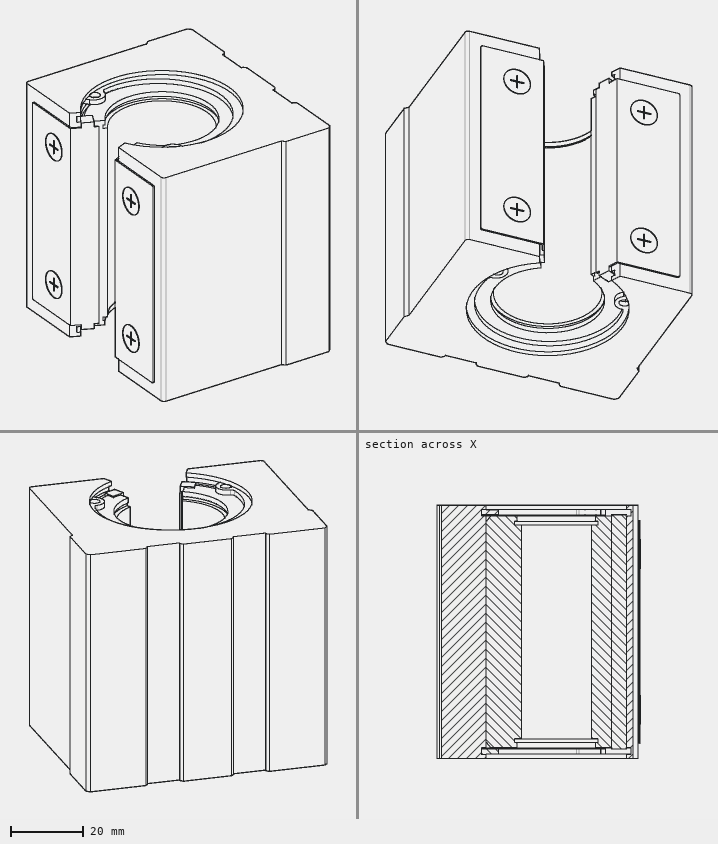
import cadquery as cq
import math

LENGTH = 70.0
HALF_LENGTH = LENGTH / 2
WIDTH = 70.0
HALF_WIDTH = WIDTH / 2
MOUNT_Y = 33.0
FRONT_Y = -22.55
BODY_HALF_WIDTH = 34.0
LEDGE = HALF_WIDTH - BODY_HALF_WIDTH
LEFT_LEDGE_DROP = 14.15
RIGHT_LEDGE_DROP = 15.2
MOUNT_CHAMFER = 1.0
FRONT_FILLET = 1.0
CHANNEL_X = 12.45
CHANNEL_WIDTH = 9.4
CHANNEL_DEPTH = 1.25
CHANNEL_CHAMFER = 0.8
BORE_R = 22.5
SLOT_HALF_ANGLE = 25.0
SLOT_TAN = math.tan(math.radians(SLOT_HALF_ANGLE))
HOUSING_SLOT_APEX_Y = 3.4
CUT_REACH = 42.0

BEARING_HALF_LENGTH = 32.0
BEARING_BORE_R = 15.0
BEARING_SLOT_APEX_Y = 3.2
MOUTH_GROOVE_R = 16.25
MOUTH_GROOVE_INNER_Z = 29.55
MOUTH_GROOVE_OUTER_Z = 30.5
MOUTH_R = 15.75
TAPER_RADIAL = 1.0
TAPER_AXIAL = 1.4

GROOVE_R = 23.6
GROOVE_OUTER_Z = 33.75
GROOVE_INNER_Z = 32.0
CLIP_INNER_Z = 32.3
CLIP_INNER_R = 20.7
CLIP_INNER_Y = -1.25
CLIP_END_ANGLE = 55.0
EAR_DIAMETER = 6.65
EAR_CENTER = (19.6, -9.6)
EAR_ROOT_Y = -6.3
EAR_FILLET = 1.0
EAR_HOLE_DIAMETER = 3.0
EAR_HOLE_CENTER = (19.05, -9.45)

SEAL_HALF_LENGTH = 30.8
SEAL_THICKNESS = 0.5
SEAL_OUTER_X = 29.8
SEAL_CORNER_R = 0.5
LEAF_APEX_Y = 0.6
LEAF_TIP_Y = -15.8
KEY_HALF_LENGTH = 32.35
KEY_INNER = (-11.75, -15.2)
KEY_SLOT_Y = -16.95
SCREW_X = 19.05
SCREW_Z = 21.5
SCREW_DIAMETER = 8.0
SCREW_HEIGHT = 0.2
CROSS_LENGTH = 4.0
CROSS_WIDTH = 0.2


def upright(sketch, half_height):
    """Extrude an XY outline to both sides of Z = 0."""
    return sketch.extrude(half_height, both=True)


def cylinder(radius, z_low, z_high):
    """Cylinder on the bore axis between two heights."""
    return cq.Workplane("XY").workplane(offset=z_low).circle(radius).extrude(z_high - z_low)


def wedge(half_angle, apex_y):
    """Wedge through the full length that opens from (0, apex_y) towards -Y."""
    x = CUT_REACH * math.tan(math.radians(half_angle))
    bottom_y = apex_y - CUT_REACH
    outline = cq.Workplane("XY").polyline([(0, apex_y), (-x, bottom_y), (x, bottom_y)]).close()
    return upright(outline, HALF_LENGTH)


def both_ends(tool):
    """The shape together with its mirror image at the lower end."""
    return tool.union(tool.mirror("XY"))


def make_channel(center_x):
    """Channel across the mounting face, with chamfered top edges."""
    half = CHANNEL_WIDTH / 2
    wide = half + CHANNEL_CHAMFER
    points = [
        (center_x - wide, MOUNT_Y),
        (center_x - half, MOUNT_Y - CHANNEL_CHAMFER),
        (center_x - half, MOUNT_Y - CHANNEL_DEPTH),
        (center_x + half, MOUNT_Y - CHANNEL_DEPTH),
        (center_x + half, MOUNT_Y - CHANNEL_CHAMFER),
        (center_x + wide, MOUNT_Y),
    ]
    return upright(cq.Workplane("XY").polyline(points).close(), HALF_LENGTH)


def make_housing():
    """Block with side ledges, mounting channels, circlip grooves and a slotted bore."""
    left_ledge_y = MOUNT_Y - LEFT_LEDGE_DROP
    right_ledge_y = MOUNT_Y - RIGHT_LEDGE_DROP
    points = [
        (-HALF_WIDTH, MOUNT_Y),
        (HALF_WIDTH, MOUNT_Y),
        (HALF_WIDTH, right_ledge_y),
        (BODY_HALF_WIDTH, right_ledge_y - LEDGE),
        (BODY_HALF_WIDTH, FRONT_Y),
        (-BODY_HALF_WIDTH, FRONT_Y),
        (-BODY_HALF_WIDTH, left_ledge_y - LEDGE),
        (-HALF_WIDTH, left_ledge_y),
    ]
    block = upright(cq.Workplane("XY").polyline(points).close(), HALF_LENGTH)
    block = block.faces(">Y").edges("|Z").chamfer(MOUNT_CHAMFER)
    block = block.faces("<Y").edges("|Z").fillet(FRONT_FILLET)
    for center_x in (-CHANNEL_X, CHANNEL_X):
        block = block.cut(make_channel(center_x))
    block = block.cut(cylinder(BORE_R, -HALF_LENGTH, HALF_LENGTH))
    block = block.cut(both_ends(cylinder(GROOVE_R, GROOVE_INNER_Z, GROOVE_OUTER_Z)))
    return block.cut(wedge(SLOT_HALF_ANGLE, HOUSING_SLOT_APEX_Y))


def make_bearing(seals):
    """Open sleeve with tapered ends, a wider grooved mouth at each end and pockets for the seals."""
    end = BEARING_HALF_LENGTH
    half_profile = [
        (BEARING_BORE_R, 0),
        (BEARING_BORE_R, MOUTH_GROOVE_INNER_Z),
        (MOUTH_GROOVE_R, MOUTH_GROOVE_INNER_Z),
        (MOUTH_GROOVE_R, MOUTH_GROOVE_OUTER_Z),
        (MOUTH_R, MOUTH_GROOVE_OUTER_Z),
        (MOUTH_R, end),
        (BORE_R - TAPER_RADIAL, end),
        (BORE_R, end - TAPER_AXIAL),
        (BORE_R, 0),
    ]
    upper_half = cq.Workplane("XZ").polyline(half_profile).close().revolve(360, (0, 0), (0, 1))
    sleeve = both_ends(upper_half).cut(wedge(SLOT_HALF_ANGLE, BEARING_SLOT_APEX_Y))
    for seal in seals:
        sleeve = sleeve.cut(seal)
    return sleeve


def make_circlip():
    """Upper internal circlip: eccentric ring with an ear and a plier hole at each end."""
    thickness = GROOVE_OUTER_Z - CLIP_INNER_Z
    base = cq.Workplane("XY").workplane(offset=CLIP_INNER_Z)
    disc = base.circle(GROOVE_R).extrude(thickness)
    clip = disc.cut(base.center(0, CLIP_INNER_Y).circle(CLIP_INNER_R).extrude(thickness))
    ears = [(-EAR_CENTER[0], EAR_CENTER[1]), EAR_CENTER]
    holes = [(-EAR_HOLE_CENTER[0], EAR_HOLE_CENTER[1]), EAR_HOLE_CENTER]
    ear_discs = base.pushPoints(ears).circle(EAR_DIAMETER / 2).extrude(thickness)
    clip = clip.union(ear_discs.intersect(disc)).cut(wedge(CLIP_END_ANGLE, 0))
    for side in (-1, 1):
        ear_root = cq.selectors.NearestToPointSelector(
            (side * CLIP_INNER_R, EAR_ROOT_Y, CLIP_INNER_Z + thickness / 2))
        clip = clip.edges("|Z").edges(ear_root).fillet(EAR_FILLET)
    return clip.cut(base.pushPoints(holes).circle(EAR_HOLE_DIAMETER / 2).extrude(thickness))


def leaf_x(y):
    """X of the leaf's slot-side face at a given Y."""
    return (y - LEAF_APEX_Y) * SLOT_TAN


def make_left_seal():
    """Plate on the front face, leaf bent into the slot, key in the bearing, two screw heads."""
    plate_y = FRONT_Y - SEAL_THICKNESS
    leaf_width = SEAL_THICKNESS / math.cos(math.radians(SLOT_HALF_ANGLE))
    sheet_points = [
        (-SEAL_OUTER_X, FRONT_Y),
        (-SEAL_OUTER_X, plate_y),
        (leaf_x(plate_y), plate_y),
        (leaf_x(LEAF_TIP_Y), LEAF_TIP_Y),
        (leaf_x(LEAF_TIP_Y) - leaf_width, LEAF_TIP_Y),
        (leaf_x(FRONT_Y) - leaf_width, FRONT_Y),
    ]
    seal = upright(cq.Workplane("XY").polyline(sheet_points).close(), SEAL_HALF_LENGTH)
    seal = seal.faces("<X").edges("|Y").fillet(SEAL_CORNER_R)

    key_foot_x = KEY_INNER[0] + (FRONT_Y - KEY_INNER[1]) * SLOT_TAN
    key_points = [
        KEY_INNER,
        (leaf_x(KEY_SLOT_Y), KEY_SLOT_Y),
        (leaf_x(FRONT_Y), FRONT_Y),
        (key_foot_x, FRONT_Y),
    ]
    key = upright(cq.Workplane("XY").polyline(key_points).close(), KEY_HALF_LENGTH)
    seal = seal.union(key.intersect(cylinder(BORE_R, -HALF_LENGTH, HALF_LENGTH)))

    for z in (-SCREW_Z, SCREW_Z):
        face = cq.Workplane("XZ", origin=(-SCREW_X, plate_y, z))
        head = face.circle(SCREW_DIAMETER / 2).extrude(SCREW_HEIGHT)
        head = head.cut(face.rect(CROSS_LENGTH, CROSS_WIDTH).extrude(SCREW_HEIGHT))
        head = head.cut(face.rect(CROSS_WIDTH, CROSS_LENGTH).extrude(SCREW_HEIGHT))
        seal = seal.union(head)
    return seal


housing = make_housing()
left_seal = make_left_seal()
seals = [left_seal, left_seal.mirror("YZ")]
bearing = make_bearing(seals)
top_circlip = make_circlip()
circlips = [top_circlip, top_circlip.mirror("XY")]

bodies = [housing, bearing, *circlips, *seals]

result = cq.Compound.makeCompound([solid for body in bodies for solid in body.solids().vals()])